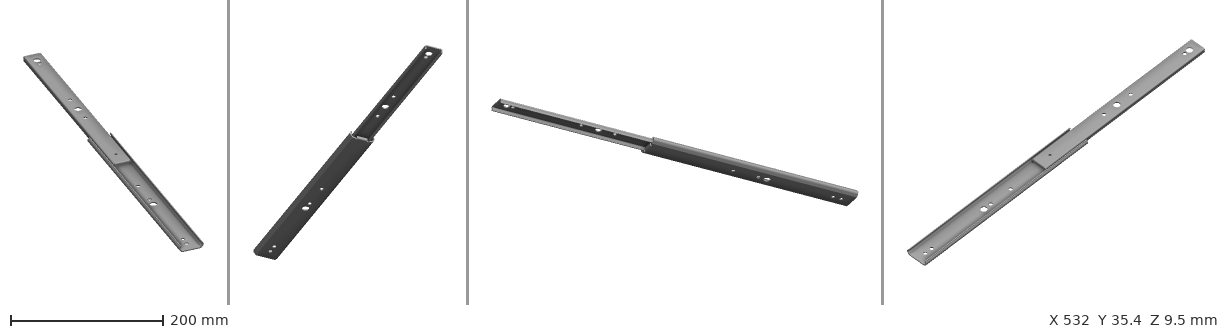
import cadquery as cq
import math

total_length = 532.0
outer_length = 306.0
inner_length = 301.5
left_end = -total_length / 2
right_end = total_length / 2
outer_start = right_end - outer_length
inner_end = left_end + inner_length

sheet = 1.5
rail_top = 9.5
tab_bend_radius = 1.85

web_clearance = 0.25
outer_lip_half = 16.0
lip_thickness = 1.35
bulge_depth = 1.7
track_radius = 3.5
track_lower_angle = 45.0

inner_half = 13.0
inner_bottom = 2.5
inner_bend_radius = 2.0
groove_radius = 2.9
groove_half_angle = 25.0

outer_tab_half = 7.5
outer_tab_top = 4.0
relief_width = 2.5
inner_tab_bottom = 5.5

large_hole = 9.5
small_hole = 5.5
end_hole = 4.0
inner_large_holes = [16.0, 153.0]
inner_small_holes = [25.0, 127.0, 177.5]
inner_end_holes = [279.5]
outer_large_holes = [404.5]
outer_small_holes = [354.0, 392.0, 503.5, 516.0]


def point_on_arc(centre, radius, angle):
    """Point at an angle in degrees, counted from +Y towards +Z."""
    turn = math.radians(angle)
    return (centre[0] + radius * math.cos(turn), centre[1] + radius * math.sin(turn))


def extruded_section(half_section, start, length):
    """Extrude a half section (drawn on +Y) along X and mirror it about the XZ plane."""
    half = half_section.close().extrude(length)
    return half.union(half.mirror("XZ")).translate((start, 0, 0))


def web_holes(positions, diameter):
    """Vertical cutters on the centre line, tall enough to pass through either web."""
    return (
        cq.Workplane("XY")
        .pushPoints([(left_end + position, 0) for position in positions])
        .circle(diameter / 2)
        .extrude(rail_top)
    )


def bent_tab(half_width, height):
    """Tab bent up from a web lying on Z = 0, with its outer face on X = 0 and the web on +X."""
    inner_radius = tab_bend_radius - sheet
    return (
        cq.Workplane("XZ")
        .moveTo(tab_bend_radius, 0)
        .radiusArc((0, tab_bend_radius), tab_bend_radius)
        .lineTo(0, height)
        .lineTo(sheet, height)
        .lineTo(sheet, tab_bend_radius)
        .radiusArc((tab_bend_radius, sheet), -inner_radius)
        .close()
        .extrude(half_width, both=True)
    )


def tab_notch(half_width):
    """Web material that makes way for a tab bent up at X = 0."""
    return cq.Workplane("XY").box(
        tab_bend_radius, 2 * half_width, sheet, centered=(False, True, False)
    )


def outer_section():
    crest_half = outer_lip_half + bulge_depth
    slope = math.radians(track_lower_angle)
    centre_y = crest_half - track_radius
    inner_web_half = inner_half + web_clearance
    outer_web_half = inner_web_half + sheet * math.tan(slope / 2)
    knee = point_on_arc((centre_y, 0), track_radius, -track_lower_angle)
    centre_z = (knee[0] - outer_web_half) * math.tan(slope) - knee[1]
    centre = (centre_y, centre_z)
    inner_radius = track_radius - sheet
    inner_lip_half = outer_lip_half - lip_thickness
    outer_lip_angle = math.degrees(math.acos((outer_lip_half - centre_y) / track_radius))
    inner_lip_angle = math.degrees(math.acos((inner_lip_half - centre_y) / inner_radius))
    return (
        cq.Workplane("YZ")
        .lineTo(outer_web_half, 0)
        .lineTo(*point_on_arc(centre, track_radius, -track_lower_angle))
        .threePointArc(
            point_on_arc(centre, track_radius, 0), point_on_arc(centre, track_radius, outer_lip_angle)
        )
        .lineTo(outer_lip_half, rail_top)
        .lineTo(inner_lip_half, rail_top)
        .lineTo(*point_on_arc(centre, inner_radius, inner_lip_angle))
        .threePointArc(
            point_on_arc(centre, inner_radius, 0), point_on_arc(centre, inner_radius, -track_lower_angle)
        )
        .lineTo(inner_web_half, sheet)
        .lineTo(0, sheet)
    )


def make_outer_rail():
    rail = extruded_section(outer_section(), outer_start, outer_length)
    rail = rail.cut(tab_notch(outer_tab_half + relief_width).translate((outer_start, 0, 0)))
    rail = rail.union(bent_tab(outer_tab_half, outer_tab_top).translate((outer_start, 0, 0)))
    rail = rail.cut(web_holes(outer_small_holes, small_hole))
    return rail.cut(web_holes(outer_large_holes, large_hole))


def inner_section():
    bend_centre = (inner_half - inner_bend_radius, rail_top - inner_bend_radius)
    groove_centre = point_on_arc(bend_centre, inner_bend_radius + groove_radius, -groove_half_angle)
    bend_inner_radius = inner_bend_radius - sheet
    groove_inner_radius = groove_radius + sheet
    bend_middle_angle = (90 - groove_half_angle) / 2
    upper = 180 - groove_half_angle
    lower = 180 + groove_half_angle
    foot_outer = point_on_arc(groove_centre, groove_radius, lower)
    foot_inner = point_on_arc(groove_centre, groove_inner_radius, lower)
    return (
        cq.Workplane("YZ")
        .moveTo(0, rail_top)
        .lineTo(bend_centre[0], rail_top)
        .threePointArc(
            point_on_arc(bend_centre, inner_bend_radius, bend_middle_angle),
            point_on_arc(bend_centre, inner_bend_radius, -groove_half_angle),
        )
        .threePointArc(point_on_arc(groove_centre, groove_radius, 180), foot_outer)
        .lineTo(foot_outer[0], inner_bottom)
        .lineTo(foot_inner[0], inner_bottom)
        .lineTo(*foot_inner)
        .threePointArc(
            point_on_arc(groove_centre, groove_inner_radius, 180),
            point_on_arc(groove_centre, groove_inner_radius, upper),
        )
        .threePointArc(
            point_on_arc(bend_centre, bend_inner_radius, bend_middle_angle),
            point_on_arc(bend_centre, bend_inner_radius, 90),
        )
        .lineTo(0, rail_top - sheet)
    )


def turned_to_inner_end(body):
    """Turn a body over so that it hangs from the web at the far end of the inner rail."""
    return body.rotate((0, 0, 0), (0, 1, 0), 180).translate((inner_end, 0, rail_top))


def make_inner_rail():
    tab_half = inner_half - inner_bend_radius
    rail = extruded_section(inner_section(), left_end, inner_length)
    rail = rail.cut(turned_to_inner_end(tab_notch(tab_half)))
    rail = rail.union(turned_to_inner_end(bent_tab(tab_half, rail_top - inner_tab_bottom)))
    rail = rail.cut(web_holes(inner_large_holes, large_hole))
    rail = rail.cut(web_holes(inner_small_holes, small_hole))
    return rail.cut(web_holes(inner_end_holes, end_hole))


outer_rail = make_outer_rail()
inner_rail = make_inner_rail()
result = cq.Compound.makeCompound([outer_rail.solids().val(), inner_rail.solids().val()])